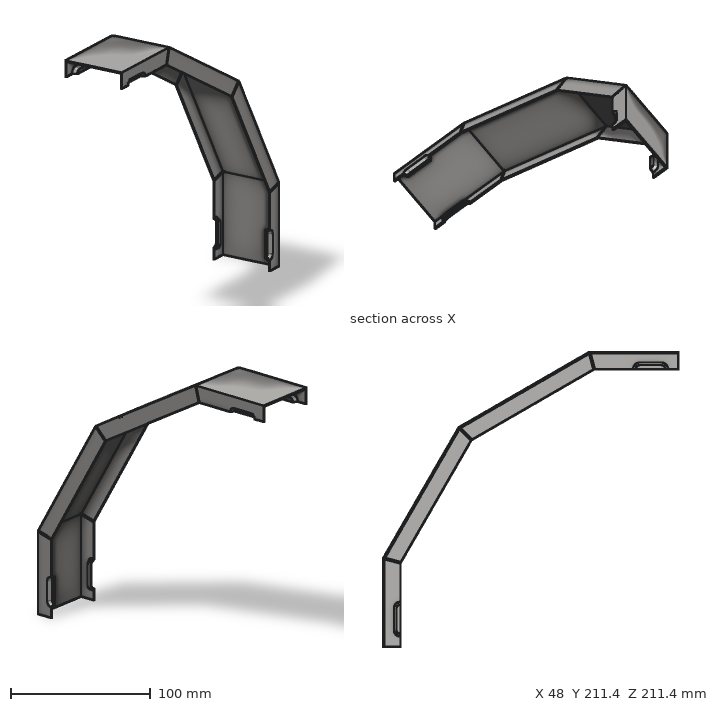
import cadquery as cq
import math

span = 211.4
width = 48.0
flange_depth = 12.5
wall = 1.0
leg_length = 63.6

fold_count = 3
fold_angle = 30.0

slit_width = 0.8
slit_reach = 2 * wall

dimple_from_end = 19.9
dimple_straight = 15.2
dimple_radius = 3.8
dimple_floor_radius = 2.0
dimple_depth = 3.2
dimple_wall = 1.7

half_width = width / 2
slit_cutter_length = 4 * flange_depth
middle_length = (span - leg_length) / (
    math.cos(math.radians(fold_angle)) + math.sin(math.radians(fold_angle))
)
dimple_taper = math.degrees(math.atan((dimple_radius - dimple_floor_radius) / dimple_depth))


def fold_line(depth):
    """(Y, Z) points of the folded line lying `depth` inside the outer face."""
    miter = depth * math.tan(math.radians(fold_angle / 2))
    leg = leg_length - miter
    middle = middle_length - 2 * miter
    y, z = 0.0, span - depth
    points = [(y, z)]
    for index, length in enumerate([leg, middle, middle, leg]):
        slope = math.radians(index * fold_angle)
        y += length * math.cos(slope)
        z -= length * math.sin(slope)
        points.append((y, z))
    return points


def folded_band(outer_depth, inner_depth, band_width):
    """Solid between two folded lines, centred on X = 0."""
    outline = fold_line(outer_depth) + fold_line(inner_depth)[::-1]
    return cq.Workplane("YZ").polyline(outline).close().extrude(band_width / 2, both=True)


def fold_slits(fold_index):
    """Pair of slit cutters along the mitre of one fold, cutting both flanges and the sheet edges."""
    corner_y, corner_z = fold_line(0)[fold_index]
    mitre_slope = (fold_index - 0.5) * fold_angle
    cutters = cq.Workplane("XY")
    for side in (-1, 1):
        slit = (
            cq.Workplane("XY")
            .box(slit_reach, slit_width, slit_cutter_length)
            .rotate((0, 0, 0), (1, 0, 0), -mitre_slope)
            .translate((side * (half_width - slit_reach / 2), corner_y, corner_z))
        )
        cutters = cutters.union(slit)
    return cutters


def tapered_slot(radius, depth):
    """Half of a tapered round-ended block, rising inward from the -X side face of the +Y leg."""
    free_edge = span - flange_depth
    length = dimple_straight + 2 * radius
    block = (
        cq.Workplane("YZ", origin=(-half_width, free_edge, dimple_from_end))
        .slot2D(length, 2 * radius, 90)
        .extrude(depth, taper=dimple_taper)
    )
    keep = cq.Workplane("XY").box(width, flange_depth, 2 * length, centered=(True, False, True))
    return block.intersect(keep.translate((0, free_edge, dimple_from_end)))


def on_all_flanges(feature):
    """Repeat a feature of the +Y leg on its other flange and on both flanges of the upper leg."""
    pair = feature.union(feature.mirror("YZ"))
    return pair.union(pair.rotate((0, 0, 0), (0, 1, 1), 180))


cover = folded_band(0, flange_depth, width).cut(
    folded_band(wall, flange_depth, width - 2 * wall)
)

for fold_number in range(1, fold_count + 1):
    cover = cover.cut(fold_slits(fold_number))

cover = cover.union(on_all_flanges(tapered_slot(dimple_radius + dimple_wall, dimple_depth + wall)))
result = cover.cut(on_all_flanges(tapered_slot(dimple_radius, dimple_depth)))